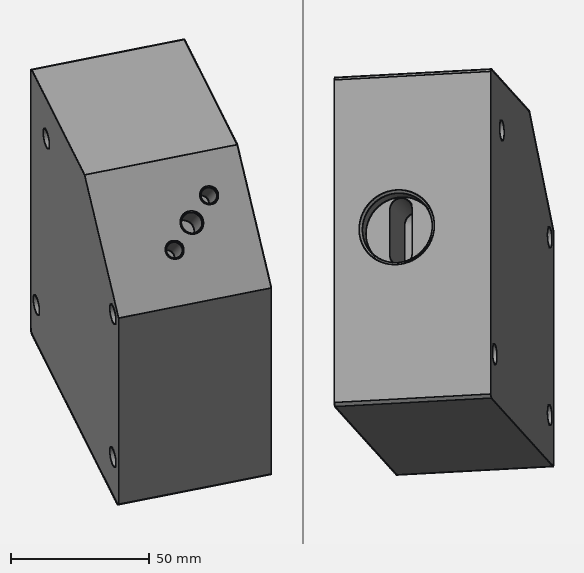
import cadquery as cq

width = 106.0
depth = 58.0
height = 123.0
edge_chamfer = 1.2
slope_run = 41.0
slope_drop = 35.2

mount_diameter = 7.5
mount_side_inset = 7.0
mount_bottom_height = 17.8
mount_corner_height = 84.3
mount_upper_x = 19.0
mount_upper_height = 104.4

window_y = 34.8
window_height = 65.4
window_diameter = 26.0
window_depth = 7.0
window_chamfer = 1.0

slot_width = 8.2
slot_length = 25.2
slot_depth = 24.6
slot_end_radius = 6.8

port_diameter = 8.6
side_port_diameter = 6.9
port_spacing_x = 6.5
port_spacing_y = 8.6
port_depth = 14.8
port_chamfer = 0.5
port_x = 83.9


def make_block():
    profile = (
        cq.Workplane("XZ")
        .moveTo(edge_chamfer, 0)
        .lineTo(width - edge_chamfer, 0)
        .lineTo(width, edge_chamfer)
        .lineTo(width, height - slope_drop)
        .lineTo(width - slope_run, height)
        .lineTo(edge_chamfer, height)
        .lineTo(0, height - edge_chamfer)
        .lineTo(0, edge_chamfer)
        .close()
    )
    return profile.extrude(-depth)


def make_mount_holes():
    right_x = width - mount_side_inset
    centres = [
        (mount_side_inset, mount_bottom_height),
        (right_x, mount_bottom_height),
        (right_x, mount_corner_height),
        (mount_upper_x, mount_upper_height),
    ]
    return cq.Workplane("XZ").pushPoints(centres).circle(mount_diameter / 2).extrude(-depth)


def make_window():
    face = cq.Workplane("YZ").center(window_y, window_height)
    recess = face.circle(window_diameter / 2).extrude(window_depth)
    rim = cq.Workplane(cq.Solid.makeCone(
        window_diameter / 2 + window_chamfer, window_diameter / 2, window_chamfer,
        cq.Vector(0, window_y, window_height), cq.Vector(1, 0, 0)))
    slot = (
        face.workplane(offset=window_depth)
        .slot2D(slot_length, slot_width, 90)
        .extrude(slot_depth)
    )
    end_x = window_depth + slot_depth
    curve_start_z = window_height + (slot_length - slot_width) / 2
    slot_bottom_z = window_height - slot_length / 2
    floor_profile = (
        cq.Workplane("XZ", origin=(0, window_y - slot_width / 2, 0))
        .moveTo(window_depth, slot_bottom_z)
        .lineTo(end_x, slot_bottom_z)
        .lineTo(end_x, curve_start_z)
        .radiusArc((end_x - slot_end_radius, curve_start_z + slot_end_radius), -slot_end_radius)
        .lineTo(window_depth, curve_start_z + slot_end_radius)
        .close()
        .extrude(-slot_width)
    )
    return recess.union(rim).union(slot.intersect(floor_profile))


def make_ports():
    slope = slope_drop / slope_run
    inward = cq.Vector(-slope_drop, 0, -slope_run).normalized()
    ports = cq.Workplane("XY")
    for step, diameter in ((-1, side_port_diameter), (0, port_diameter), (1, side_port_diameter)):
        x = port_x + step * port_spacing_x
        z = height - slope * (x - width + slope_run)
        start = cq.Vector(x, window_y - step * port_spacing_y, z)
        rim_radius = diameter / 2
        bore_radius = rim_radius - port_chamfer
        ports = ports.add(cq.Solid.makeCylinder(bore_radius, port_depth, start, inward))
        ports = ports.add(cq.Solid.makeCone(rim_radius, bore_radius, port_chamfer, start, inward))
    return ports.combine()


result = (
    make_block()
    .cut(make_mount_holes())
    .cut(make_window())
    .cut(make_ports())
)